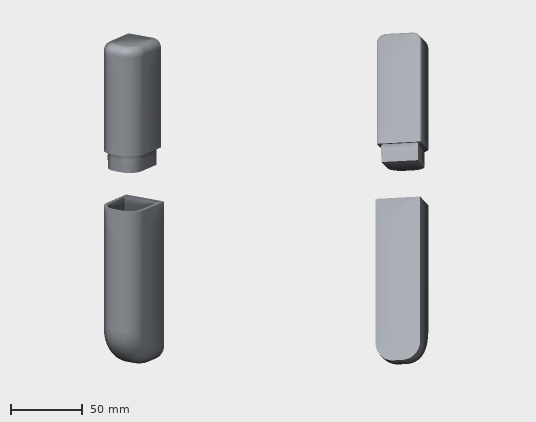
import cadquery as cq

body_width = 31.8
corner_radius = 12.7

lower_depth = 37.5
lower_height = 116.8
toe_radius = 28.3
wall = 2.5
back_wall = 6.0

total_height = 235.9
upper_depth = 34.2
upper_bottom = 157.0
top_round = 6.4
back_chamfer = 0.7

ridge_width = 26.5
ridge_back_inset = 2.1
ridge_height = 152.1
neck_bottom = 144.4
neck_draft = 1.0

ridge_inset = (body_width - ridge_width) / 2
ridge_depth = upper_depth - ridge_inset - ridge_back_inset


def d_outline(inset, depth, height):
    """Outline at a height, flat at the back and round at the front corners, set in from sides and front."""
    half_width = body_width / 2 - inset
    radius = corner_radius - inset
    back = inset + depth
    corner_start = inset + radius
    front_half_width = half_width - radius
    return (
        cq.Workplane("XY", origin=(0, 0, height))
        .moveTo(-half_width, back)
        .lineTo(-half_width, corner_start)
        .radiusArc((-front_half_width, inset), -radius)
        .lineTo(front_half_width, inset)
        .radiusArc((half_width, corner_start), -radius)
        .lineTo(half_width, back)
        .close()
    )


def toe_form(inset, depth):
    """Case form whose front turns into the bottom, rounded all along both sides of that path."""
    return (
        cq.Workplane("XY", origin=(0, inset, inset))
        .box(body_width - 2 * inset, depth, lower_height - inset, centered=(True, False, False))
        .edges("|X and <Y and <Z")
        .fillet(toe_radius - inset)
        .faces("<X or >X")
        .edges("not(>Y or >Z)")
        .fillet(corner_radius - inset)
    )


def make_lower_case():
    cavity = toe_form(wall, lower_depth - wall - back_wall)
    return toe_form(0, lower_depth).cut(cavity)


def neck_part(end_height):
    """Stretch of the neck that narrows from the ridge to its end."""
    ridge = d_outline(ridge_inset, ridge_depth, ridge_height)
    return ridge.extrude(end_height - ridge_height, taper=neck_draft)


def make_upper_case():
    shell = (
        d_outline(0, upper_depth, upper_bottom)
        .extrude(total_height - upper_bottom)
        .faces(">Z")
        .edges("not >Y")
        .fillet(top_round)
        .faces(">Y")
        .edges("not <Z")
        .chamfer(back_chamfer)
    )
    return shell.union(neck_part(upper_bottom)).union(neck_part(neck_bottom))


lower_case = make_lower_case()
upper_case = make_upper_case()

result = cq.Compound.makeCompound([lower_case.solids().val(), upper_case.solids().val()])